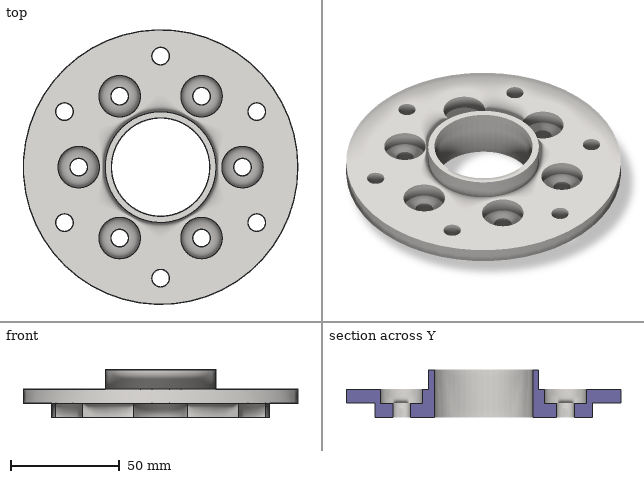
import cadquery as cq

flange_height = 6.5
plate_height = 6.5
hub_height = 9.0
plate_top = flange_height + plate_height
overall_height = plate_top + hub_height

plate_diameter = 126.0
flange_diameter = 100.0
hub_diameter = 50.8
bore_diameter = 45.0

bolt_count = 6
bolt_diameter = 8.0
inner_ring_radius = 37.5
outer_ring_radius = 50.9
outer_ring_angle = 180 / bolt_count
counterbore_diameter = 19.0
counterbore_depth = 6.5
scallop_diameter = 25.2


def cylinder(diameter, bottom, height):
    return cq.Workplane("XY").workplane(offset=bottom).circle(diameter / 2).extrude(height)


def cylinder_ring(ring_radius, start_angle, diameter, bottom, height):
    return (
        cq.Workplane("XY")
        .workplane(offset=bottom)
        .polarArray(ring_radius, start_angle, 360, bolt_count)
        .circle(diameter / 2)
        .extrude(height)
    )


scallops = cylinder_ring(outer_ring_radius, outer_ring_angle, scallop_diameter, 0, flange_height)
flange = cylinder(flange_diameter, 0, flange_height).cut(scallops)

plate = cylinder(plate_diameter, flange_height, plate_height)
hub = cylinder(hub_diameter, plate_top, hub_height)
body = flange.union(plate).union(hub)

body = body.cut(cylinder(bore_diameter, 0, overall_height))

inner_holes = cylinder_ring(inner_ring_radius, 0, bolt_diameter, 0, plate_top)
counterbores = cylinder_ring(
    inner_ring_radius, 0, counterbore_diameter, plate_top - counterbore_depth, counterbore_depth
)
outer_holes = cylinder_ring(outer_ring_radius, outer_ring_angle, bolt_diameter, 0, plate_top)

result = body.cut(inner_holes).cut(counterbores).cut(outer_holes)